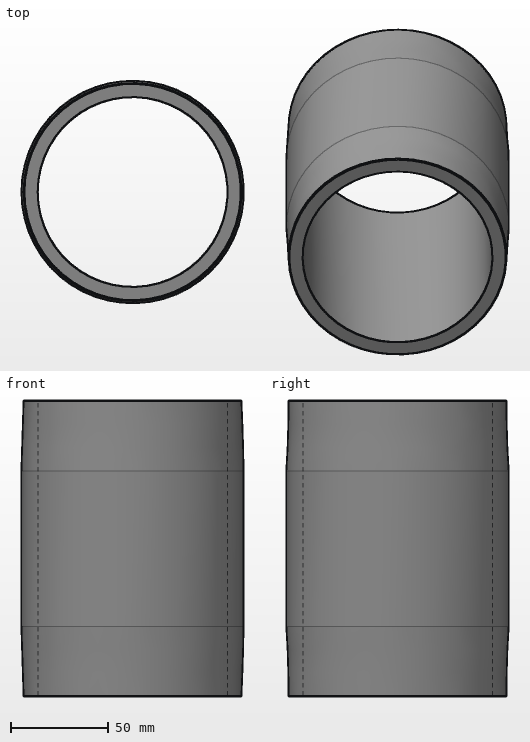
import cadquery as cq

length = 152.4
outer_diameter = 114.3
bore_diameter = 97.18
taper_length = 36.2
taper_ratio = 1 / 16
outer_chamfer = 0.6
bore_chamfer = 0.25

outer_radius = outer_diameter / 2
bore_radius = bore_diameter / 2
end_radius = outer_radius - taper_length * taper_ratio / 2
half_length = length / 2
taper_start = half_length - taper_length


def tube_wall_profile():
    """Closed section of the wall on the -X side, in the XZ plane."""
    return (
        cq.Workplane("XZ")
        .moveTo(-bore_radius, bore_chamfer - half_length)
        .lineTo(-bore_radius - bore_chamfer, -half_length)
        .lineTo(outer_chamfer - end_radius, -half_length)
        .lineTo(-end_radius, outer_chamfer - half_length)
        .lineTo(-outer_radius, -taper_start)
        .lineTo(-outer_radius, taper_start)
        .lineTo(-end_radius, half_length - outer_chamfer)
        .lineTo(outer_chamfer - end_radius, half_length)
        .lineTo(-bore_radius - bore_chamfer, half_length)
        .lineTo(-bore_radius, half_length - bore_chamfer)
        .close()
    )


result = tube_wall_profile().revolve(360, (0, 0, 0), (0, 1, 0))